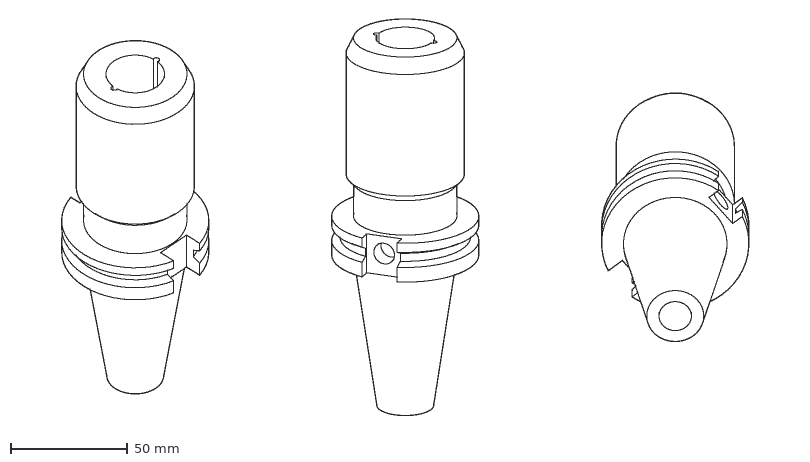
import cadquery as cq

total_height = 169.8
gauge_height = 68.5
flange_bottom = 69.5
flange_top = 87.5
groove_bottom = 77.6
groove_top = 81.4
groove_lower_lip = 76.3
groove_upper_lip = 83.2
neck_top = 103.5
body_bottom = 106.8
top_chamfer_height = 6.8

taper_ratio = 7 / 24
neck_radius = 22.3
taper_small_radius = neck_radius - gauge_height * taper_ratio / 2
flange_diameter = 63.4
flange_radius = flange_diameter / 2
groove_radius = 28.0
body_radius = 25.5
nose_radius = 22.3

bore_radius = 12.5
bore_depth = 51.0
through_radius = 7.0
channel_radius = 1.4
channel_offset = 13.0

slot_width = 16.1
left_slot_floor = 25.3
right_slot_floor = 22.8
dimple_radius = 4.8
dimple_depth = 8.5
dimple_height = 79.5


def turned_body():
    """Revolve taper, grooved flange, neck and chamfered body about Z."""
    profile = [
        (0, 0),
        (taper_small_radius, 0),
        (neck_radius, gauge_height),
        (neck_radius, flange_bottom),
        (flange_radius, flange_bottom),
        (flange_radius, groove_lower_lip),
        (groove_radius, groove_bottom),
        (groove_radius, groove_top),
        (flange_radius, groove_upper_lip),
        (flange_radius, flange_top),
        (neck_radius, flange_top),
        (neck_radius, neck_top),
        (body_radius, body_bottom),
        (body_radius, total_height - top_chamfer_height),
        (nose_radius, total_height),
        (0, total_height),
    ]
    return cq.Workplane("XZ").polyline(profile).close().revolve(360, (0, 0), (0, 1))


def tool_bore():
    """Through hole, wider tool bore and two channels along the bore wall."""
    through_hole = cq.Workplane("XY").circle(through_radius).extrude(total_height)
    bore_floor = cq.Workplane("XY").workplane(offset=total_height - bore_depth)
    bore = bore_floor.circle(bore_radius).extrude(bore_depth)
    channels = (
        bore_floor.pushPoints([(0, channel_offset), (0, -channel_offset)])
        .circle(channel_radius)
        .extrude(bore_depth)
    )
    return through_hole.union(bore).union(channels)


def drive_slot(side, floor):
    """Slot through the flange height, on the -X (side=-1) or +X (side=1) side."""
    depth = flange_radius - floor
    return (
        cq.Workplane("XY")
        .box(depth, slot_width, flange_top - flange_bottom, centered=(True, True, False))
        .translate((side * (floor + depth / 2), 0, flange_bottom))
    )


def slot_dimple():
    """Blind round hole in the floor of the -X slot."""
    return (
        cq.Workplane("YZ", origin=(-left_slot_floor, 0, 0))
        .center(0, dimple_height)
        .circle(dimple_radius)
        .extrude(dimple_depth)
    )


result = (
    turned_body()
    .cut(tool_bore())
    .cut(drive_slot(-1, left_slot_floor))
    .cut(drive_slot(1, right_slot_floor))
    .cut(slot_dimple())
)